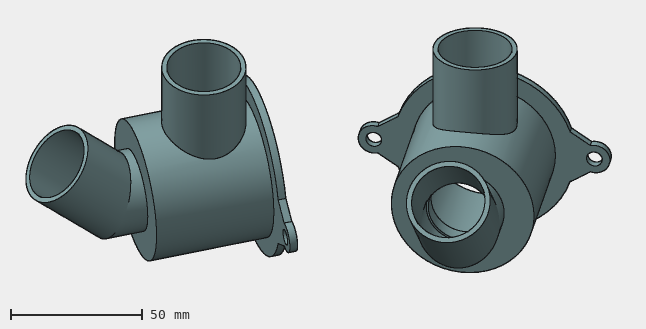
import cadquery as cq
import math

overall_width = 97.0
flange_radius = 34.9
flange_thickness = 3.1
ear_offset = 42.5
ear_radius = overall_width / 2 - ear_offset
ear_hole_diameter = 6.0
web_root_half_width = 11.0
web_tip_half_width = 4.8

body_diameter = 55.0
cavity_diameter = 42.5
body_front = 49.6
wall_thickness = (body_diameter - cavity_diameter) / 2
inlet_hole_diameter = 26.5

pipe_diameter = 32.0
pipe_bore = 28.0
top_pipe_center = 22.5
top_pipe_height = 55.0
bend_angle = 45.0
bend_distance = 59.7
total_depth = 92.1
bend_sin = math.sin(math.radians(bend_angle))
bend_cos = math.cos(math.radians(bend_angle))
arm_length = (total_depth - bend_distance - pipe_diameter / 2 * bend_sin) / bend_cos


def rod(diameter, start, end, x=0):
    """Cylinder along Y between two distances in front of the back face."""
    return (
        cq.Workplane("XZ", origin=(x, -start, 0))
        .circle(diameter / 2)
        .extrude(end - start)
    )


def flange():
    plate = rod(2 * flange_radius, 0, flange_thickness)
    web_root = math.sqrt(flange_radius**2 - web_root_half_width**2)
    for side in (-1, 1):
        web = (
            cq.Workplane("XZ")
            .polyline([
                (side * web_root, web_root_half_width),
                (side * ear_offset, web_tip_half_width),
                (side * ear_offset, -web_tip_half_width),
                (side * web_root, -web_root_half_width),
            ])
            .close()
            .extrude(flange_thickness)
        )
        ear = rod(2 * ear_radius, 0, flange_thickness, side * ear_offset)
        hole = rod(ear_hole_diameter, 0, flange_thickness, side * ear_offset)
        plate = plate.union(web).union(ear).cut(hole)
    return plate


def top_pipe(diameter):
    """Vertical cylinder from the body axis to the top opening."""
    return (
        cq.Workplane("XY", origin=(0, -top_pipe_center, 0))
        .circle(diameter / 2)
        .extrude(top_pipe_height)
    )


def bent_pipe(diameter):
    """Straight run from the body face, mitred into an arm rising forward."""
    path = (
        cq.Workplane("YZ")
        .moveTo(-body_front, 0)
        .lineTo(-bend_distance, 0)
        .lineTo(-bend_distance - arm_length * bend_cos, arm_length * bend_sin)
    )
    return (
        cq.Workplane("XZ", origin=(0, -body_front, 0))
        .circle(diameter / 2)
        .sweep(path, transition="right")
    )


outside = (
    flange()
    .union(rod(body_diameter, 0, body_front))
    .union(top_pipe(pipe_diameter))
    .union(bent_pipe(pipe_diameter))
)

result = (
    outside
    .cut(rod(cavity_diameter, 0, body_front - wall_thickness))
    .cut(rod(inlet_hole_diameter, 0, body_front))
    .cut(top_pipe(pipe_bore))
    .cut(bent_pipe(pipe_bore))
)